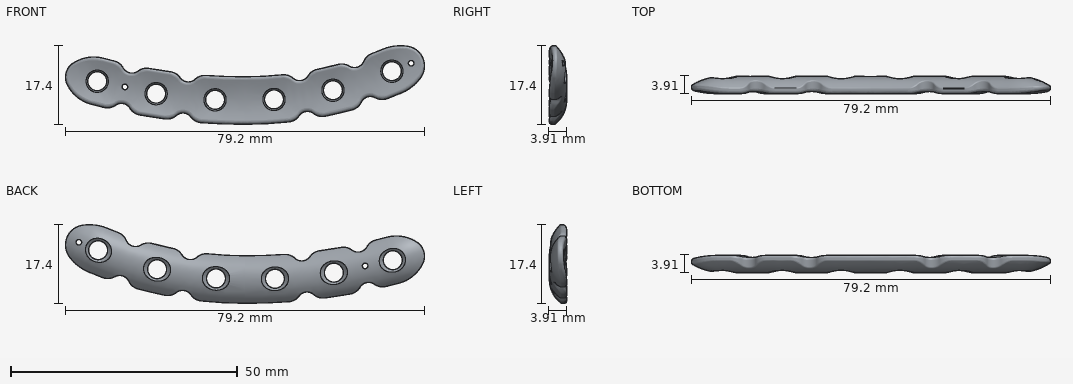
import cadquery as cq
import math

WIDTH = 10.5
LEFT_BEND = 125.7
RIGHT_BEND = 84.6
HOLE_PITCH = 13.0
HOLES_PER_SIDE = 3
WAIST_HALF_WIDTH = 3.5
NOTCH_RADIUS = 2.2
LOBE_RADIUS = 3.2
LEFT_REACH = 7.1
RIGHT_REACH = 7.4
LEFT_TIP_RADIUS = 3.7
RIGHT_TIP_RADIUS = 4.4

CREST = 3.9
BACK_RADIUS = 6.5
HOLLOW_DEPTH = 0.735
HOLLOW_RADIUS = 14.2
END_DOME_RADIUS = 13.8
FRONT_ROUND = 0.6
BACK_ROUND = 0.4
RIM_SPLIT = 0.95

HOLE_DIAMETER = 4.1
SEAT_DIAMETER = 6.0
SEAT_RADIUS = 3.5
FRONT_COUNTERSINK = 4.9
PIN_DIAMETER = 1.2
LEFT_PIN = (-26.3, 3.0)
RIGHT_PIN_REACH = 4.6

MARGIN = 1.6
SIDE_MARGIN = 0.4
DOME_SWEEP = 50
HOLLOW_OVERRUN = 10

HALF_WIDTH = WIDTH / 2
LAST_HOLE_X = (HOLES_PER_SIDE - 0.5) * HOLE_PITCH


def bend_radius(side):
    """Centreline radius of a half; side is -1 towards -X and 1 towards +X."""
    return RIGHT_BEND if side > 0 else LEFT_BEND


def bend_angle(side, x):
    """Angle of the centreline at distance x from the middle."""
    return math.asin(x / bend_radius(side))


def on_plate(side, angle, offset=0.0):
    """Point at a bend angle, offset towards the bend centre."""
    radius = bend_radius(side) - offset
    return (side * radius * math.sin(angle), bend_radius(side) - radius * math.cos(angle))


def past_end(side, along, offset):
    """Point measured from the last screw hole, along and across the plate there."""
    angle = bend_angle(side, LAST_HOLE_X)
    x, z = on_plate(side, angle, offset)
    return (x + side * along * math.cos(angle), z + along * math.sin(angle))


def towards(start, target, distance):
    """Point at a distance from start in the direction of target."""
    step = distance / math.dist(start, target)
    return (start[0] + step * (target[0] - start[0]), start[1] + step * (target[1] - start[1]))


def end_plane(side):
    """Plane across the plate at its last screw hole, facing the tip."""
    angle = bend_angle(side, LAST_HOLE_X)
    x, z = on_plate(side, angle)
    return cq.Plane(origin=(x, 0, z), xDir=(0, 1, 0),
                    normal=(side * math.cos(angle), 0, math.sin(angle)))


def end_arc_points(side):
    """Points of the tip outline from the +Z edge to the -Z edge."""
    reach, tip_radius = (RIGHT_REACH, RIGHT_TIP_RADIUS) if side > 0 else (LEFT_REACH, LEFT_TIP_RADIUS)
    tip_centre = reach - tip_radius
    shoulder = (tip_centre**2 + HALF_WIDTH**2 - tip_radius**2) / (2 * (HALF_WIDTH - tip_radius))
    turn = math.asin(tip_centre / (shoulder - tip_radius))

    def shoulder_point(angle):
        return (shoulder * math.sin(angle), HALF_WIDTH - shoulder * (1 - math.cos(angle)))

    middle = shoulder_point(turn / 2)
    joint = shoulder_point(turn)
    upper = [(0, HALF_WIDTH), middle, joint]
    lower = [(along, -offset) for along, offset in reversed(upper)]
    return [past_end(side, *point) for point in upper + [(reach, 0)] + lower]


def edge_arcs(side, edge):
    """Arcs of one long edge from the middle to the last hole, as (via, end) pairs."""
    bend = bend_radius(side)
    notch_offset = WAIST_HALF_WIDTH + NOTCH_RADIUS
    lobe_offset = HALF_WIDTH - LOBE_RADIUS
    to_notch = bend - edge * notch_offset
    to_lobe = bend - edge * lobe_offset
    gap = NOTCH_RADIUS + LOBE_RADIUS
    spread = math.acos((to_notch**2 + to_lobe**2 - gap**2) / (2 * to_notch * to_lobe))

    arcs = []
    start = 0
    for index in range(1, HOLES_PER_SIDE):
        middle = bend_angle(side, index * HOLE_PITCH)
        notch = on_plate(side, middle, edge * notch_offset)
        lobes = []
        for turn in (-spread, spread):
            lobe = on_plate(side, middle + turn, edge * lobe_offset)
            crown = on_plate(side, middle + turn, edge * HALF_WIDTH)
            joint = towards(lobe, notch, LOBE_RADIUS)
            chord_middle = ((crown[0] + joint[0]) / 2, (crown[1] + joint[1]) / 2)
            lobes.append((crown, towards(lobe, chord_middle, LOBE_RADIUS), joint))
        (crown_in, via_in, joint_in), (crown_out, via_out, joint_out) = lobes
        arcs.append((on_plate(side, (start + middle - spread) / 2, edge * HALF_WIDTH), crown_in))
        arcs.append((via_in, joint_in))
        arcs.append((on_plate(side, middle, edge * WAIST_HALF_WIDTH), joint_out))
        arcs.append((via_out, crown_out))
        start = middle + spread
    end = bend_angle(side, LAST_HOLE_X)
    arcs.append((on_plate(side, (start + end) / 2, edge * HALF_WIDTH),
                 on_plate(side, end, edge * HALF_WIDTH)))
    return arcs


def half_boundary(side):
    """Points of one half outline, ends and arc midpoints in turn, +Z middle to -Z middle."""
    upper = [(0, HALF_WIDTH)] + [point for arc in edge_arcs(side, 1) for point in arc]
    lower = [(0, -HALF_WIDTH)] + [point for arc in edge_arcs(side, -1) for point in arc]
    return upper + end_arc_points(side)[1:-1] + lower[::-1]


def half_outline(side):
    """Half of the plate outline as a tall prism along Y, cut flat across the middle."""
    boundary = half_boundary(side)
    sketch = cq.Workplane("XZ", origin=(0, -MARGIN, 0)).moveTo(*boundary[0])
    for via, end in zip(boundary[1::2], boundary[2::2]):
        sketch = sketch.threePointArc(via, end)
    return sketch.close().extrude(-(CREST + 2 * MARGIN))


def section(plane, crest, radius, floor):
    """Segment-shaped cross-section between a flat floor and an arched top."""
    half = HALF_WIDTH + SIDE_MARGIN
    rim = crest - radius + math.sqrt(radius**2 - half**2)
    return (cq.Workplane(plane).moveTo(floor, -half).lineTo(rim, -half)
            .threePointArc((crest, 0), (rim, half)).lineTo(floor, half).close())


def bent(side, crest, radius, floor, overrun=0):
    """Cross-section carried along the bend from the middle to the last hole, or further."""
    bend = bend_radius(side)
    turn = math.degrees(bend_angle(side, LAST_HOLE_X)) + overrun
    return section("YZ", crest, radius, floor).revolve(turn, (0, bend), (-side, bend))


def back_blank(side):
    """Solid under the convex back: bent along the plate, then domed down towards the tip."""
    dome_axis = CREST - END_DOME_RADIUS
    dome = (section(end_plane(side), CREST, BACK_RADIUS, -MARGIN)
            .revolve(DOME_SWEEP, (dome_axis, 0), (dome_axis, -1)))
    return bent(side, CREST, BACK_RADIUS, -MARGIN).union(dome)


def round_rim(half, side, front, radius):
    """Round the front or back rim of a half plate."""
    end = on_plate(side, bend_angle(side, LAST_HOLE_X))

    def is_rim(edge):
        centre = edge.Center()
        crosses = any(math.dist((centre.x, centre.z), point) < WAIST_HALF_WIDTH / 2
                      for point in ((0, 0), end))
        return not crosses and (centre.y < RIM_SPLIT) == front

    rim = [edge for edge in half.edges("not |Y").vals() if is_rim(edge)]
    return half.newObject(rim).fillet(radius)


def half_plate(side):
    """One half of the plate, ending flat at the middle, without its holes."""
    half = half_outline(side).intersect(back_blank(side))
    half = round_rim(half, side, front=False, radius=BACK_ROUND)
    half = half.cut(bent(side, HOLLOW_DEPTH, HOLLOW_RADIUS, -2 * MARGIN, HOLLOW_OVERRUN))
    return round_rim(half, side, front=True, radius=FRONT_ROUND)


def screw_holes():
    """Cutting tools for the screw holes: bore, seat in the back and countersink in the front."""
    centres = [on_plate(side, bend_angle(side, (index + 0.5) * HOLE_PITCH))
               for side in (-1, 1) for index in range(HOLES_PER_SIDE)]
    bore = cq.Workplane("XZ").circle(HOLE_DIAMETER / 2).extrude(-CREST)
    seat_centre = CREST + math.sqrt(SEAT_RADIUS**2 - (SEAT_DIAMETER / 2)**2)
    seat = cq.Workplane("XY").sphere(SEAT_RADIUS).translate((0, seat_centre, 0))
    sink_depth = (FRONT_COUNTERSINK - HOLE_DIAMETER) / 2
    sink = (cq.Workplane("XZ", origin=(0, HOLLOW_DEPTH, 0)).circle(FRONT_COUNTERSINK / 2)
            .workplane(offset=-sink_depth).circle(HOLE_DIAMETER / 2).loft())
    mouth = cq.Workplane("XZ").circle(FRONT_COUNTERSINK / 2).extrude(-HOLLOW_DEPTH)
    tool = bore.union(seat).union(sink).union(mouth)
    return [tool.translate((x, 0, z)) for x, z in centres]


def pin_holes():
    """Cutting tool for the two small pin holes."""
    centres = [LEFT_PIN, past_end(1, RIGHT_PIN_REACH, 0)]
    return cq.Workplane("XZ").pushPoints(centres).circle(PIN_DIAMETER / 2).extrude(-CREST)


result = half_plate(-1).union(half_plate(1))
for hole in screw_holes():
    result = result.cut(hole)
result = result.cut(pin_holes())